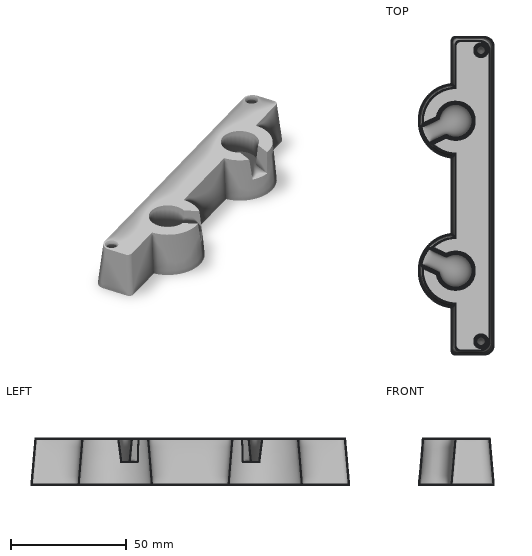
import cadquery as cq
import math

length = 137.5
height = 20.0
width = 18.3
draft_angle = 5.0
back_x = 32.5
front_x = back_x - width
front_corner_radius = 2.0
back_corner_radius = 4.5

boss_radius = 16.0
boss_x = boss_radius
boss_y = 32.5
pocket_top_radius = 8.2
pocket_depth = 10.2
slot_top_width = 9.6
slot_angle = 25.0

hole_x = 27.0
hole_y = 63.0
hole_diameter = 4.3
hole_mouth_diameter = 5.8
hole_mouth_depth = 1.2
hole_depth = 10.0
hole_tip_angle = 118.0

draft_slope = math.tan(math.radians(draft_angle))
pocket_floor = height - pocket_depth
pocket_inset = pocket_depth * draft_slope


def drafted_bar():
    """Bar whose four sides lean inward, with its upright corners rounded."""
    middle_x = (front_x + back_x) / 2
    bar = (
        cq.Workplane("XY")
        .center(middle_x, 0)
        .rect(width, length)
        .extrude(height, taper=draft_angle)
    )
    bar = bar.edges("not #Z").edges("<X").fillet(front_corner_radius)
    return bar.edges("not #Z").edges(">X").fillet(back_corner_radius)


def boss(side):
    """Cone-shaped boss on the front of the bar."""
    return (
        cq.Workplane("XY")
        .center(boss_x, side * boss_y)
        .circle(boss_radius)
        .extrude(height, taper=draft_angle)
    )


def pocket(side):
    """Round pocket and its slot, both narrowing toward the floor."""
    floor = cq.Workplane("XY", origin=(boss_x, side * boss_y, pocket_floor))
    round_part = floor.circle(pocket_top_radius - pocket_inset).extrude(pocket_depth, taper=-draft_angle)
    slot_length = 2 * boss_radius
    floor_width = slot_top_width - 2 * pocket_inset
    slot = (
        floor.center(-slot_length / 2, 0)
        .rect(slot_length, floor_width)
        .extrude(pocket_depth, taper=-draft_angle)
        .intersect(floor.center(-slot_length, 0).rect(2 * slot_length, slot_length).extrude(pocket_depth))
    )
    centre = (boss_x, side * boss_y, 0)
    slot = slot.rotate(centre, (boss_x, side * boss_y, 1), side * slot_angle)
    return round_part.union(slot)


def screw_hole(side):
    """Blind drilled hole with a wider mouth and a conical tip."""
    radius = hole_diameter / 2
    tip_depth = radius / math.tan(math.radians(hole_tip_angle / 2))
    profile = [
        (0, 0),
        (hole_mouth_diameter / 2, 0),
        (radius, -hole_mouth_depth),
        (radius, -hole_depth),
        (0, -hole_depth - tip_depth),
    ]
    hole = cq.Workplane("XZ").polyline(profile).close().revolve(360, (0, 0), (0, 1))
    return hole.translate((hole_x, side * hole_y, height))


result = drafted_bar()
for side in (-1, 1):
    result = result.union(boss(side))
for side in (-1, 1):
    result = result.cut(pocket(side)).cut(screw_hole(side))